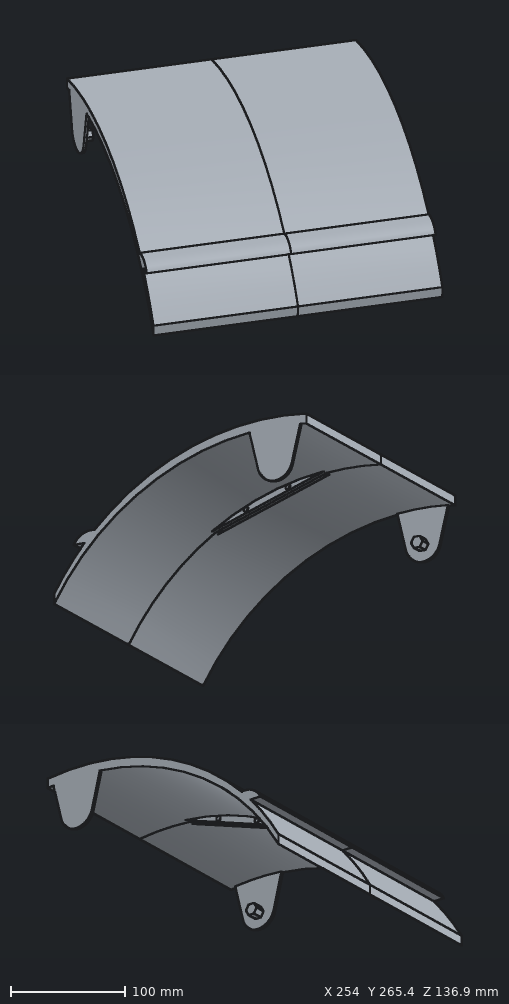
import cadquery as cq
import math

cover_length = 254.0
cover_width = 265.43
cover_drop = 136.94
half_width = cover_width / 2

arch_center_x = 32.4
crown_thickness = 9.3
outer_radius = 256.5
inner_reach = cover_length - arch_center_x
inner_fall = cover_drop - crown_thickness
inner_radius = (inner_reach**2 + inner_fall**2) / (2 * inner_fall)

hook_start_x = 213.6
hook_crest_x = 225.5
hook_crest_z = -76.6
hook_tip_x = 234.2
hook_bottom_z = -85.5

leg_thickness = 2.54
leg_center_x = 31.75
leg_bottom_z = -58.8
leg_tip_radius = 17.4
leg_side_angle = 13.8

peg_across_flats = 10.16
peg_length = 10.16
peg_center_z = -43.4

rib_thickness = 5.08
rib_start_x = 54.5
rib_end_x = 167.0
rib_hole_diameter = 4.57
rib_hole_centers = [(90.8, -18.8), (133.0, -32.7)]


def arch_point(x, radius, crown_z):
    """Point at x on an arch of the given radius whose highest point is at crown_z."""
    rise = math.sqrt(radius**2 - (x - arch_center_x) ** 2)
    return (x, crown_z - radius + rise)


def outer_point(x):
    return arch_point(x, outer_radius, 0)


def inner_point(x):
    return arch_point(x, inner_radius, -crown_thickness)


def outer_x(z):
    """Position on the falling side of the outer arc at height z."""
    return arch_center_x + math.sqrt(outer_radius**2 - (z + outer_radius) ** 2)


def section_at(y):
    """Sketch plane with X to the right and Z up; its normal points towards -Y."""
    return cq.Workplane("XZ", origin=(0, y, 0))


def extrude_outward(sketch, length):
    """Extrude towards +Y, away from the joint."""
    return sketch.extrude(-length)


def make_shell():
    notch_x = outer_x(hook_bottom_z)
    profile = (
        section_at(0)
        .moveTo(*outer_point(0))
        .threePointArc(outer_point(hook_start_x / 2), outer_point(hook_start_x))
        .threePointArc((hook_crest_x, hook_crest_z), (hook_tip_x, hook_bottom_z))
        .lineTo(notch_x, hook_bottom_z)
        .threePointArc(outer_point((notch_x + cover_length) / 2), outer_point(cover_length))
        .lineTo(*inner_point(cover_length))
        .threePointArc(inner_point(cover_length / 2), inner_point(0))
        .close()
    )
    return extrude_outward(profile, half_width)


def make_leg():
    angle = math.radians(leg_side_angle)
    tangent_half_width = leg_tip_radius * math.cos(angle)
    tangent_z = leg_bottom_z + leg_tip_radius * (1 - math.sin(angle))
    top_z = -crown_thickness / 2
    top_half_width = tangent_half_width + (top_z - tangent_z) * math.tan(angle)
    profile = (
        section_at(half_width - leg_thickness)
        .moveTo(leg_center_x - top_half_width, top_z)
        .lineTo(leg_center_x - tangent_half_width, tangent_z)
        .threePointArc((leg_center_x, leg_bottom_z), (leg_center_x + tangent_half_width, tangent_z))
        .lineTo(leg_center_x + top_half_width, top_z)
        .close()
    )
    return extrude_outward(profile, leg_thickness)


def make_peg():
    peg_end_y = half_width - leg_thickness - peg_length
    across_corners = peg_across_flats / math.cos(math.radians(30))
    profile = section_at(peg_end_y).center(leg_center_x, peg_center_z).polygon(6, across_corners)
    return extrude_outward(profile, peg_length)


def make_rib():
    middle_x = (rib_start_x + rib_end_x) / 2
    profile = (
        section_at(0)
        .moveTo(*inner_point(rib_start_x))
        .threePointArc(inner_point(middle_x), inner_point(rib_end_x))
        .close()
    )
    holes = section_at(0).pushPoints(rib_hole_centers).circle(rib_hole_diameter / 2)
    return extrude_outward(profile, rib_thickness).cut(extrude_outward(holes, rib_thickness))


def make_cover_half():
    """The half on the +Y side of the joint."""
    return make_shell().union(make_rib()).union(make_leg()).union(make_peg()).solids()


cover_half = make_cover_half().val()
mirrored_half = cover_half.mirror("XZ")

result = cq.Compound.makeCompound([cover_half, mirrored_half])